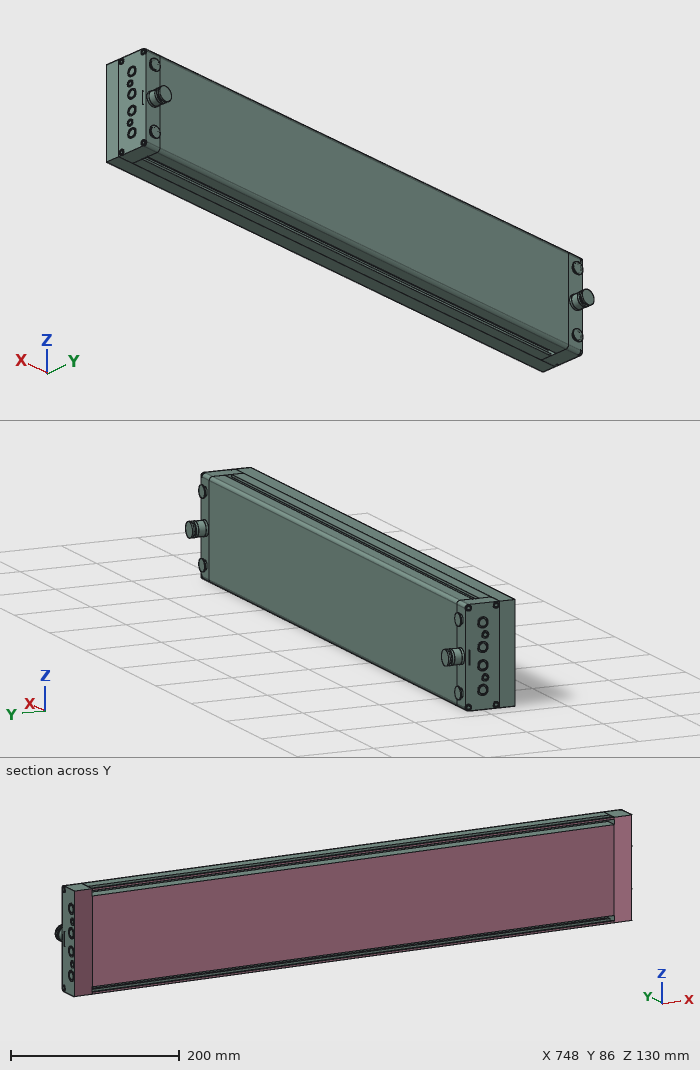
import cadquery as cq

length = 748.0
height = 130.0
cover_depth = 20.0
rear_y = 65.0
rear_fillet = 4.5
cap_length = 24.0

mouth_front_y = 36.0
mouth_width = 9.0
mouth_depth = 3.0
chamber_width = 18.0
chamber_depth = 6.0

gland_diameter = 20.0
gland_body_diameter = 19.5
gland_base_end_y = 68.0
gland_collar_y = 78.0
gland_body_end_y = 81.0
gland_neck_diameter = 16.0
gland_flange_y = 84.0
gland_end_y = 86.0

button_z = 45.0
button_stem_radius = 6.0
button_head_radius = 8.0
button_head_y = 68.0
button_end_y = 69.5

recess_depth = 2.0
port_y = 42.0
port_z = [11.0, 41.0]
port_radius = 7.0
port_core_radius = 4.85
small_port_y = 39.0
small_port_z = 26.0
small_port_radius = 4.5
small_port_core_radius = 2.6
screw_inset = 4.5
screw_radius = 4.0
screw_core_radius = 2.0
slit_y = 59.0
slit_width = 1.0
slit_height = 18.0

cap_depth = rear_y - cover_depth
cap_center_x = (length - cap_length) / 2
profile_length = length - 2 * cap_length


def box(x_size, y_start, y_size, z_size, x_center=0.0, z_center=0.0):
    """Box centred in X and Z that starts at y_start."""
    center = (x_center, y_start + y_size / 2, z_center)
    return cq.Workplane("XY").box(x_size, y_size, z_size).translate(center)


def rod(radius, y_start, y_end, x, z):
    """Cylinder along Y."""
    start = cq.Vector(x, y_start, z)
    return cq.Workplane(cq.Solid.makeCylinder(radius, y_end - y_start, start, cq.Vector(0, 1, 0)))


def make_cover():
    return box(length, 0, cover_depth, height)


def make_profile():
    profile = box(profile_length, cover_depth, cap_depth, height)
    profile = profile.faces(">Y").edges("|X").fillet(rear_fillet)
    chamber_front_y = mouth_front_y - (chamber_width - mouth_width) / 2
    for side in (1, -1):
        mouth_z = side * (height - mouth_depth) / 2
        chamber_z = side * (height / 2 - mouth_depth - chamber_depth / 2)
        profile = profile.cut(box(profile_length, mouth_front_y, mouth_width, mouth_depth, z_center=mouth_z))
        profile = profile.cut(
            box(profile_length, chamber_front_y, chamber_width, chamber_depth, z_center=chamber_z)
        )
    return profile


def make_gland(x):
    base = rod(gland_diameter / 2, rear_y, gland_base_end_y, x, 0)
    body = rod(gland_body_diameter / 2, gland_base_end_y, gland_collar_y, x, 0)
    collar = rod(gland_diameter / 2, gland_collar_y, gland_body_end_y, x, 0)
    neck = rod(gland_neck_diameter / 2, gland_body_end_y, gland_flange_y, x, 0)
    flange = rod(gland_diameter / 2, gland_flange_y, gland_end_y, x, 0)
    return base.union(body).union(collar).union(neck).union(flange)


def make_button(x, z):
    stem = rod(button_stem_radius, rear_y, button_head_y, x, z)
    return stem.union(rod(button_head_radius, button_head_y, button_end_y, x, z))


def round_recess(side, y, z, radius):
    """Cylindrical cutter that enters the cap from its outer face."""
    start = cq.Vector(side * length / 2, y, z)
    inward = cq.Vector(-side, 0, 0)
    return cq.Workplane(cq.Solid.makeCylinder(radius, recess_depth, start, inward))


def ring_recess(side, y, z, radius, core_radius):
    """Annular cutter that leaves a round core flush with the cap's outer face."""
    return round_recess(side, y, z, radius).cut(round_recess(side, y, z, core_radius))


def make_end_cap(side):
    x = side * cap_center_x
    cap = box(cap_length, cover_depth, cap_depth, height, x_center=x)
    cap = cap.faces(">Y").edges("|X").fillet(rear_fillet)
    cap = cap.union(make_gland(x))
    for half in (1, -1):
        cap = cap.union(make_button(x, half * button_z))
        for z in port_z:
            cap = cap.cut(ring_recess(side, port_y, half * z, port_radius, port_core_radius))
        cap = cap.cut(
            ring_recess(side, small_port_y, half * small_port_z, small_port_radius, small_port_core_radius)
        )
        for screw_y in (cover_depth + screw_inset, rear_y - screw_inset):
            screw_z = half * (height / 2 - screw_inset)
            cap = cap.cut(ring_recess(side, screw_y, screw_z, screw_radius, screw_core_radius))
    slit_x = side * (length - recess_depth) / 2
    return cap.cut(box(recess_depth, slit_y, slit_width, slit_height, x_center=slit_x))


cover = make_cover()
profile = make_profile()
end_caps = [make_end_cap(side) for side in (-1, 1)]

result = cq.Compound.makeCompound([cover.val(), profile.val(), *[cap.val() for cap in end_caps]])